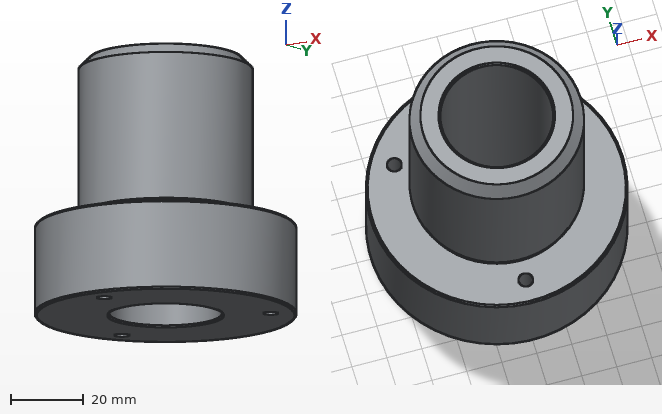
import cadquery as cq

total_height = 72.0
flange_diameter = 72.0
flange_height = 25.0
edge_chamfer = 0.5

spigot_diameter = 48.0
spigot_chamfer = 3.0
groove_diameter = 46.0
groove_height = 3.0

bore_diameter = 31.0
hole_diameter = 4.0
hole_circle_radius = 29.0
hole_count = 3
first_hole_angle = -90.0


def cylinder(diameter, bottom, top):
    """Upright cylinder on the Z axis between two heights."""
    return cq.Workplane("XY").workplane(offset=bottom).circle(diameter / 2).extrude(top - bottom)


flange = cylinder(flange_diameter, 0, flange_height).edges().chamfer(edge_chamfer)

groove_top = flange_height + groove_height
groove = cylinder(groove_diameter, flange_height, groove_top)
spigot = cylinder(spigot_diameter, groove_top, total_height).faces(">Z").edges().chamfer(spigot_chamfer)
body = flange.union(groove).union(spigot)

bore = cylinder(bore_diameter, 0, total_height)
body = body.cut(bore)
body = body.faces("<Z or >Z").edges(cq.selectors.RadiusNthSelector(0)).chamfer(edge_chamfer)

holes = (
    cq.Workplane("XY")
    .polarArray(hole_circle_radius, first_hole_angle, 360, hole_count)
    .circle(hole_diameter / 2)
    .extrude(flange_height)
)
result = body.cut(holes)